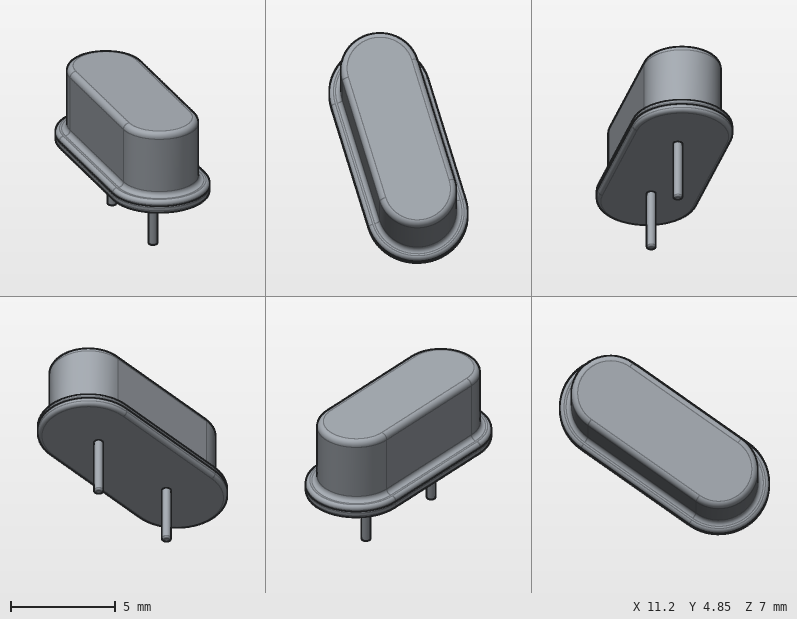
import cadquery as cq

overall_length = 11.2
overall_width = 4.85
base_thickness = 0.4

cap_top = 4.0
flange_thickness = 0.3
flange_overhang = 0.55
can_length = overall_length - 2 * flange_overhang
can_width = overall_width - 2 * flange_overhang

rim_radius = 0.2
seam_radius = 0.05
neck_radius = 0.25
can_top_radius = 0.3

lead_diameter = 0.45
lead_length = 3.0
lead_pitch = 4.88
lead_tip_radius = 0.1


def obround(length, width, bottom, height):
    """Upright obround block with its long axis along X."""
    return cq.Workplane("XY").workplane(offset=bottom).slot2D(length, width).extrude(height)


def make_base():
    """Base plate with a large bottom rim round and a small round at the joint."""
    plate = obround(overall_length, overall_width, 0, base_thickness)
    return plate.faces("<Z").edges().fillet(rim_radius).faces(">Z").edges().fillet(seam_radius)


def make_cap():
    """Flange and can in one piece, seated on the base."""
    flange_top = base_thickness + flange_thickness
    flange = obround(overall_length, overall_width, base_thickness, flange_thickness)
    flange = flange.faces(">Z").edges().fillet(rim_radius)
    flange = flange.faces("<Z").edges().fillet(seam_radius)

    can = obround(can_length, can_width, flange_top, cap_top - flange_top)
    can = can.faces(">Z").edges().fillet(can_top_radius)

    reach_x = can_length / 2 + neck_radius / 2
    reach_y = can_width / 2 + neck_radius / 2
    reach_z = neck_radius / 2
    can_foot = cq.selectors.BoxSelector(
        (-reach_x, -reach_y, flange_top - reach_z),
        (reach_x, reach_y, flange_top + reach_z),
        boundingbox=True,
    )
    return flange.union(can).edges(can_foot).fillet(neck_radius)


def make_lead(x):
    """Round lead hanging from the underside of the base, with a rounded tip."""
    lead = cq.Workplane("XY").center(x, 0).circle(lead_diameter / 2).extrude(-lead_length)
    return lead.faces("<Z").edges().fillet(lead_tip_radius)


base = make_base()
cap = make_cap()
leads = [make_lead(side * lead_pitch / 2) for side in (-1, 1)]

bodies = [base, cap, *leads]

result = cq.Compound.makeCompound([body.solids().val() for body in bodies])